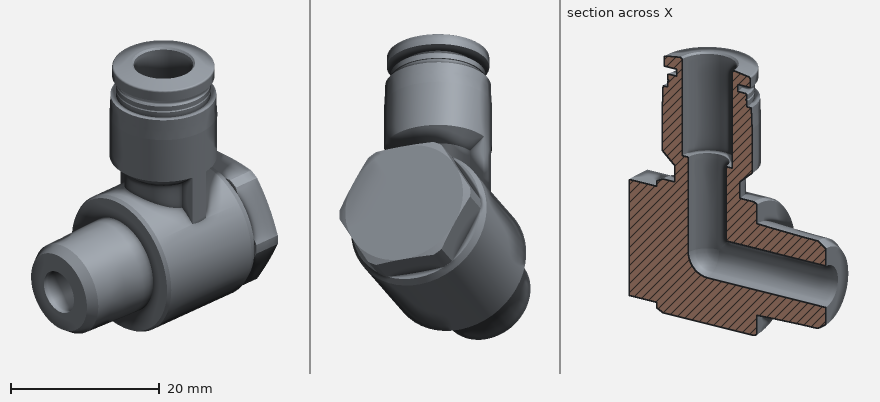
import cadquery as cq
import math


body_diameter = 19.6
body_front = -8.0
body_back = 8.1
body_front_bevel = (0.3, 0.5)
body_back_bevel = (0.5, 1.0)

thread_end = -19.0
thread_tip_diameter = 12.85
thread_bevel = (0.85, 1.3)
thread_taper = 1 / 16

hex_sides = 6
hex_back = 12.5
hex_across_flats = 17.0
hex_corner_diameter = 18.9
hex_end_bevel = 0.27

neck_diameter = 10.5
cone_bottom = 12.15
collar_bottom = 13.9
collar_diameter = 14.5
collar_taper_start = 20.4
collar_top = 23.4
collar_top_diameter = 14.25
rib_width = 2.5

ring_diameter = 12.8
ring_bevel = 0.2
ring_tops = (24.4, 25.3)

button_neck_diameter = 9.8
button_bottom = 26.25
button_edge = 27.8
button_edge_radius = 0.25
button_top = 28.2
button_diameter = 13.8

flow_diameter = 6.0
tube_diameter = 8.0
tube_bevel = 0.25
tube_stop = collar_bottom


def turned_about_y(sections):
    """Solid of revolution about Y from (diameter, y) pairs."""
    outline = [(diameter / 2, y) for diameter, y in sections]
    axis_points = [(0, outline[-1][1]), (0, outline[0][1])]
    profile = cq.Workplane("XY").polyline(outline + axis_points).close()
    return profile.revolve(360, (0, 0, 0), (0, 1, 0))


def turned_about_z(sections):
    """Solid of revolution about Z from (diameter, z) pairs."""
    return turned_about_y(sections).rotate((0, 0, 0), (1, 0, 0), 90)


def make_body():
    front_radial, front_axial = body_front_bevel
    back_radial, back_axial = body_back_bevel
    return turned_about_y([
        (body_diameter - 2 * front_radial, body_front),
        (body_diameter, body_front + front_axial),
        (body_diameter, body_back - back_axial),
        (body_diameter - 2 * back_radial, body_back),
    ])


def make_thread_end():
    bevel_radial, bevel_axial = thread_bevel
    tip_y = thread_end + bevel_axial
    root_diameter = thread_tip_diameter + thread_taper * (body_front - tip_y)
    return turned_about_y([
        (thread_tip_diameter - 2 * bevel_radial, thread_end),
        (thread_tip_diameter, tip_y),
        (root_diameter, body_front),
        (root_diameter, 0),
    ])


def make_hex_head():
    hex_across_corners = hex_across_flats / math.cos(math.pi / hex_sides)
    hexagon = (
        cq.Workplane("XZ", origin=(0, hex_back, 0))
        .polygon(hex_sides, hex_across_corners)
        .extrude(hex_back - body_back)
    )
    blank = turned_about_y([
        (hex_across_flats, body_back),
        (hex_corner_diameter, body_back + hex_end_bevel),
        (hex_corner_diameter, hex_back - hex_end_bevel),
        (hex_across_flats, hex_back),
    ])
    return hexagon.intersect(blank)


def make_neck_and_collar():
    return turned_about_z([
        (neck_diameter, 0),
        (neck_diameter, cone_bottom),
        (collar_diameter, collar_bottom),
        (collar_diameter, collar_taper_start),
        (collar_top_diameter, collar_top),
    ])


def make_rings():
    sections = []
    bottom = collar_top
    for top in ring_tops:
        sections += [
            (ring_diameter, bottom),
            (ring_diameter, top - ring_bevel),
            (ring_diameter - 2 * ring_bevel, top),
        ]
        bottom = top
    return turned_about_z(sections)


def make_button():
    button = turned_about_z([
        (button_neck_diameter, ring_tops[-1]),
        (button_neck_diameter, button_bottom),
        (button_diameter, button_bottom),
        (button_diameter, button_edge),
        (tube_diameter + 2 * tube_bevel, button_top),
    ])
    outer_edge = cq.selectors.BoxSelector(
        (-button_diameter, -button_diameter, button_edge - button_edge_radius),
        (button_diameter, button_diameter, button_edge + button_edge_radius),
    )
    return button.edges("%CIRCLE").edges(outer_edge).fillet(button_edge_radius)


def make_ribs():
    web = cq.Workplane("XY").rect(collar_diameter, rib_width).extrude(collar_bottom)
    collar_cylinder = cq.Workplane("XY").circle(collar_diameter / 2).extrude(collar_bottom)
    return web.intersect(collar_cylinder)


def make_bores():
    thread_bore = turned_about_y([(flow_diameter, thread_end), (flow_diameter, 0)])
    elbow = cq.Workplane("XY").sphere(flow_diameter / 2)
    port_bore = turned_about_z([
        (flow_diameter, 0),
        (flow_diameter, tube_stop),
        (tube_diameter, tube_stop),
        (tube_diameter, button_top - tube_bevel),
        (tube_diameter + 2 * tube_bevel, button_top),
    ])
    return thread_bore.union(elbow).union(port_bore)


fitting = make_body().union(make_thread_end()).union(make_hex_head())
fitting = fitting.union(make_neck_and_collar()).union(make_rings())
fitting = fitting.union(make_button()).union(make_ribs())
result = fitting.cut(make_bores())